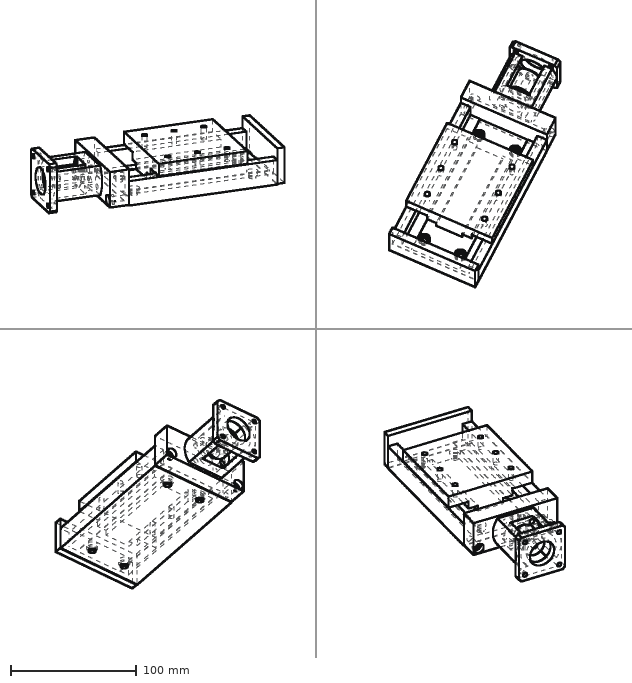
import cadquery as cq


slide_width = 76.1
hole_grid = slide_width / 3

base_length = 127.0
base_height = 21.0
rail_width = 8.5
channel_width = 42.1
ledge_height = 6.2
channel_floor = 5.6
base_hole_spacing_x = 31.8
base_hole_spacing_y = 4 * hole_grid
base_hole_dia = 5.8
base_cbore_dia = 9.0
base_cbore_depth = 3.0

end_underside = 0.5
end_top = 31.0
end_plate_thickness = 6.2
block_thickness = 16.3
block_hole_spacing = 65.8
block_hole_height = 5.2
block_hole_dia = 4.5
block_cbore_dia = 8.2
block_cbore_depth = 4.5

carriage_length = slide_width
carriage_top = 32.2
carriage_plate_bottom = 21.5
carriage_body_width = 39.6
carriage_body_bottom = 15.0
carriage_foot_width = 23.0
carriage_foot_bottom = 10.0
carriage_hole_spacing_x = 2 * hole_grid
carriage_hole_spacing_y = hole_grid
carriage_hole_dia = 4.0

axis_height = 16.1
flange_size = 42.0
flange_thickness = 6.0
flange_chamfer = 2.3
flange_bore_dia = 22.0
flange_hole_spacing = 31.0
flange_hole_dia = 3.5
mount_length = 38.6
mount_dia = 41.2
mount_flat_height = 25.2
mount_wall = 10.1
mount_cavity_dia = 31.8
mount_bore_dia = 13.5
mount_hole_spacing_x = 19.0
mount_hole_spacing_z = 15.3
mount_hole_dia = 4.3

coupling_dia = 19.0
coupling_length = 18.8
coupling_gap = 3.0
coupling_bore_dia = 5.2
coupling_chamfer = 0.8

block_front = -block_thickness
mount_cavity_back = block_front - mount_wall
flange_back = block_front - mount_length
flange_front = flange_back - flange_thickness
carriage_middle = base_length / 2


def box(width, y_front, y_back, z_low, z_high):
    """Box centred on X = 0 between the given Y and Z limits."""
    corner = cq.Vector(-width / 2, y_front, z_low)
    return cq.Workplane(cq.Solid.makeBox(width, y_back - y_front, z_high - z_low, corner))


def facing_front(y):
    """Workplane at the given Y, facing -Y, with its origin on the motor axis."""
    return cq.Workplane("XZ", origin=(0, y, axis_height))


def make_base():
    base = box(slide_width, 0, base_length, 0, base_height)
    trough = box(slide_width - 2 * rail_width, 0, base_length, ledge_height, base_height)
    channel = box(channel_width, 0, base_length, channel_floor, base_height)
    return (
        base.cut(trough)
        .cut(channel)
        .copyWorkplane(cq.Workplane("XY", origin=(0, base_length / 2, channel_floor)))
        .rarray(base_hole_spacing_x, base_hole_spacing_y, 2, 2)
        .cboreHole(base_hole_dia, base_cbore_dia, base_cbore_depth)
    )


def make_end_plate():
    return box(slide_width, base_length, base_length + end_plate_thickness, end_underside, end_top)


def make_front_block():
    block = box(slide_width, block_front, 0, end_underside, end_top)
    return (
        block.copyWorkplane(cq.Workplane("XZ", origin=(0, block_front, block_hole_height)))
        .rarray(block_hole_spacing, 2, 2, 1)
        .cboreHole(block_hole_dia, block_cbore_dia, block_cbore_depth)
    )


def make_carriage():
    front = carriage_middle - carriage_length / 2
    back = carriage_middle + carriage_length / 2
    plate = (
        box(slide_width, front, back, carriage_plate_bottom, carriage_top)
        .copyWorkplane(cq.Workplane("XY", origin=(0, carriage_middle, carriage_top)))
        .rarray(carriage_hole_spacing_x, carriage_hole_spacing_y, 2, 3)
        .hole(carriage_hole_dia)
    )
    body = box(carriage_body_width, front, back, carriage_body_bottom, carriage_plate_bottom)
    foot = box(carriage_foot_width, front, back, carriage_foot_bottom, carriage_body_bottom)
    return plate.union(body).union(foot)


def make_motor_mount():
    flats = box(
        flange_size,
        flange_back,
        block_front,
        axis_height - mount_flat_height / 2,
        axis_height + mount_flat_height / 2,
    )
    barrel = facing_front(block_front).circle(mount_dia / 2).extrude(mount_length).intersect(flats)
    cavity = facing_front(mount_cavity_back).circle(mount_cavity_dia / 2).extrude(mount_length - mount_wall)
    wall_bore = facing_front(block_front).circle(mount_bore_dia / 2).extrude(mount_wall)
    wall_holes = (
        facing_front(block_front)
        .rarray(mount_hole_spacing_x, mount_hole_spacing_z, 2, 2)
        .circle(mount_hole_dia / 2)
        .extrude(mount_wall)
    )
    flange = (
        facing_front(flange_back)
        .rect(flange_size, flange_size)
        .extrude(flange_thickness)
        .edges("|Y")
        .chamfer(flange_chamfer)
        .copyWorkplane(facing_front(flange_front))
        .hole(flange_bore_dia)
        .copyWorkplane(facing_front(flange_front))
        .rarray(flange_hole_spacing, flange_hole_spacing, 2, 2)
        .hole(flange_hole_dia)
    )
    return barrel.cut(cavity).cut(wall_bore).cut(wall_holes).union(flange)


def make_coupling():
    back = mount_cavity_back - coupling_gap
    front = back - coupling_length
    return (
        facing_front(back)
        .circle(coupling_dia / 2)
        .extrude(coupling_length)
        .faces("<Y or >Y")
        .chamfer(coupling_chamfer)
        .copyWorkplane(facing_front(front))
        .hole(coupling_bore_dia)
    )


base = make_base()
end_plate = make_end_plate()
front_block = make_front_block()
carriage = make_carriage()
motor_mount = make_motor_mount()
coupling = make_coupling()

result = cq.Compound.makeCompound([
    base.val(),
    end_plate.val(),
    front_block.val(),
    carriage.val(),
    motor_mount.val(),
    coupling.val(),
])